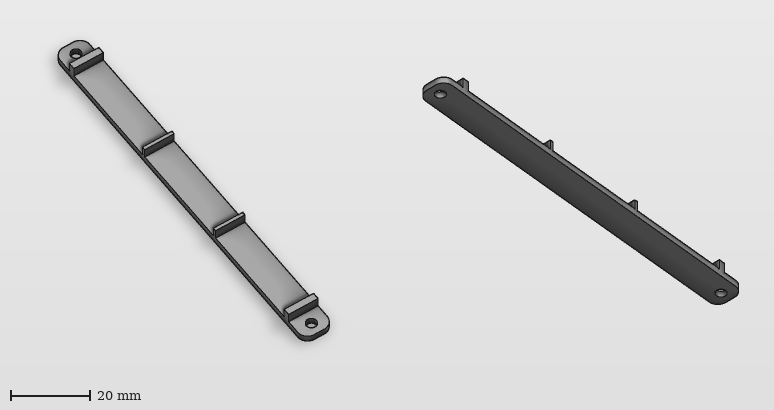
import cadquery as cq

length = 111.5
width = 9.0
base_thickness = 2.0
corner_radius = 3.0

hole_diameter = 3.0
hole_inset = 3.5

overall_height = 5.0
end_rib_thickness = 2.0
divider_thickness = 1.0
end_rib_inset = 7.0
bay_count = 3

end_rib_x = length / 2 - end_rib_inset - end_rib_thickness / 2
inner_span = 2 * end_rib_x - end_rib_thickness
divider_count = bay_count - 1
bay_length = (inner_span - divider_count * divider_thickness) / bay_count
divider_pitch = bay_length + divider_thickness


def make_base():
    """Flat strip with rounded corners and a through hole near each end."""
    hole_x = length / 2 - hole_inset
    return (
        cq.Workplane("XY")
        .rect(length, width)
        .extrude(base_thickness)
        .edges("|Z")
        .fillet(corner_radius)
        .faces(">Z")
        .workplane()
        .pushPoints([(-hole_x, 0), (hole_x, 0)])
        .hole(hole_diameter)
    )


def make_rib(x, thickness):
    """Upright rib centred at x, rising from the underside to the overall height."""
    return cq.Workplane("XY").center(x, 0).rect(thickness, width).extrude(overall_height)


result = make_base()

for side in (-1, 1):
    result = result.union(make_rib(side * end_rib_x, end_rib_thickness))

for index in range(divider_count):
    divider_x = (index - (divider_count - 1) / 2) * divider_pitch
    result = result.union(make_rib(divider_x, divider_thickness))